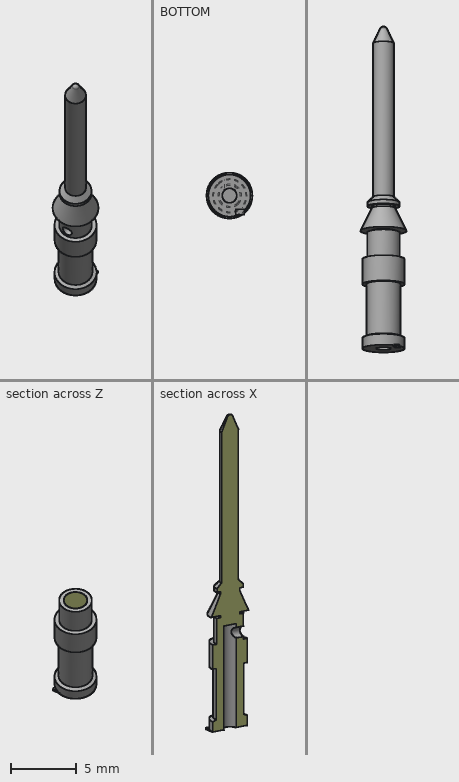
import cadquery as cq
import math


total_height = 25.0
mark_height = 0.07
flange_height = 0.83
flange_cone_height = 0.12
collar_bottom_z = 5.05
collar_top_z = 7.0
body_top_z = 9.05
lower_neck_height = 0.13
ring_bottom_z = 11.08
ring_height = 0.3
ring_cone_height = 0.42
upper_neck_height = 0.15
tip_cone_height = 1.15

flange_diameter = 3.2
collar_diameter = flange_diameter
barrel_diameter = 2.6
body_diameter = 2.5
neck_diameter = 1.8
cone_diameter = 3.5
ring_diameter = 2.45
pin_diameter = 1.6
tip_dome_diameter = 0.52
tip_dome_height = 0.15

bore_diameter = 1.1
bore_top_z = 8.3
inspection_hole_diameter = 0.8
inspection_hole_z = 7.6

mark_length = 0.65
mark_width = 0.4
mark_center_x = 0.8
mark_center_y = 1.25


def turned_body():
    """Revolve the outer profile of the contact, without bore or holes."""
    flange_bottom_z = mark_height
    flange_top_z = flange_bottom_z + flange_height
    barrel_bottom_z = flange_top_z + flange_cone_height
    barrel_radius = barrel_diameter / 2
    body_radius = body_diameter / 2
    collar_radius = collar_diameter / 2
    flange_radius = flange_diameter / 2
    neck_radius = neck_diameter / 2
    ring_radius = ring_diameter / 2
    pin_radius = pin_diameter / 2
    cone_bottom_z = body_top_z + lower_neck_height
    ring_top_z = ring_bottom_z + ring_height
    pin_bottom_z = ring_top_z + ring_cone_height
    dome_base_radius = tip_dome_diameter / 2
    dome_base_z = total_height - tip_dome_height
    dome_radius = (dome_base_radius**2 + tip_dome_height**2) / (2 * tip_dome_height)
    half_dome_angle = math.asin(dome_base_radius / dome_radius) / 2
    dome_middle = (
        dome_radius * math.sin(half_dome_angle),
        total_height - dome_radius * (1 - math.cos(half_dome_angle)),
    )

    profile = (
        cq.Workplane("XZ")
        .moveTo(0, flange_bottom_z)
        .lineTo(flange_radius, flange_bottom_z)
        .lineTo(flange_radius, flange_top_z)
        .lineTo(barrel_radius, barrel_bottom_z)
        .lineTo(barrel_radius, collar_bottom_z)
        .lineTo(collar_radius, collar_bottom_z)
        .lineTo(collar_radius, collar_top_z)
        .lineTo(body_radius, collar_top_z)
        .lineTo(body_radius, body_top_z)
        .lineTo(neck_radius, body_top_z)
        .lineTo(neck_radius, cone_bottom_z)
        .lineTo(cone_diameter / 2, cone_bottom_z)
        .lineTo(neck_radius, ring_bottom_z - upper_neck_height)
        .lineTo(neck_radius, ring_bottom_z)
        .lineTo(ring_radius, ring_bottom_z)
        .lineTo(ring_radius, ring_top_z)
        .lineTo(pin_radius, pin_bottom_z)
        .lineTo(pin_radius, dome_base_z - tip_cone_height)
        .lineTo(dome_base_radius, dome_base_z)
        .threePointArc(dome_middle, (0, total_height))
        .close()
    )
    return profile.revolve(360, (0, 0, 0), (0, 1, 0))


def bottom_mark():
    """Raised pad on the bottom face, sunk into the flange so that it joins it."""
    return (
        cq.Workplane("XY")
        .center(mark_center_x, mark_center_y)
        .rect(mark_length, mark_width)
        .extrude(2 * mark_height)
    )


def crimp_bore():
    """Blind bore, open at the bottom of the flange."""
    return cq.Workplane("XY").circle(bore_diameter / 2).extrude(bore_top_z)


def inspection_hole():
    """Radial hole from the -Y side of the body into the bore."""
    return (
        cq.Workplane("XZ")
        .center(0, inspection_hole_z)
        .circle(inspection_hole_diameter / 2)
        .extrude(body_diameter)
    )


result = turned_body().union(bottom_mark()).cut(crimp_bore()).cut(inspection_hole())